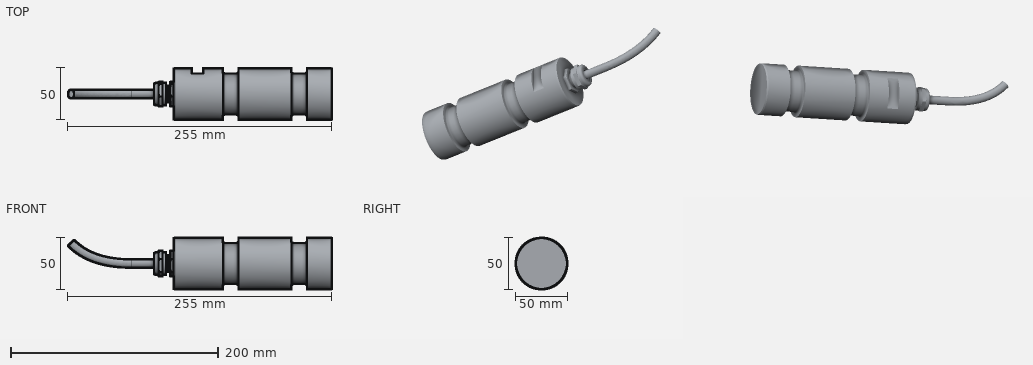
import cadquery as cq
import math


pin_length = 153.0
pin_radius = 25.0
lead_in_length = 1.5
lead_in_depth = 0.4
groove_width = 15.0
groove_depth = 5.0
groove_starts = [47.5, 113.75]
groove_root_fillet = 1.5
cut_overshoot = 1.0
keeper_slot_start = 17.6
keeper_slot_width = 10.8
keeper_slot_depth = 5.0

cable_radius = 4.2
cable_bend_start = -40.7
cable_end_angle = 46.0
cable_end_rise = 20.0
cable_reach = 102.0

hex_across_flats = 22.0
hex_turn = 20.0
hex_chamfer_length = 0.7
hex_chamfer_depth = 0.8
base_hex_length = 3.3
collar_length = 2.2
collar_root_radius = 7.4
neck_radius = 8.1
nut_end = -19.1
nut_start = -7.2
nut_radius = 10.95
nut_dome_radius = 2.2
nut_hex_start = -14.5
nut_hex_length = 3.9
nut_face_thickness = 2.5
nut_recess_radius = 7.5
nut_recess_depth = 0.5
cable_clearance_radius = 5.1


def cylinder(radius, start, end):
    """Cylinder about the X axis between two X positions."""
    return cq.Workplane("YZ", origin=(start, 0, 0)).circle(radius).extrude(end - start)


def chamfered_hexagon(start, length):
    """Hexagon about the X axis with its corners turned down at the outer (-X) end."""
    corner_radius = hex_across_flats / math.sqrt(3)
    hexagon = (
        cq.Workplane("YZ", origin=(start, 0, 0))
        .polygon(6, 2 * corner_radius)
        .extrude(length)
        .rotate((0, 0, 0), (1, 0, 0), -hex_turn)
    )
    turning = (
        cq.Workplane("XY")
        .moveTo(start, 0)
        .lineTo(start, corner_radius - hex_chamfer_depth)
        .lineTo(start + hex_chamfer_length, corner_radius)
        .lineTo(start + length, corner_radius)
        .lineTo(start + length, 0)
        .close()
        .revolve(360, (0, 0, 0), (1, 0, 0))
    )
    return hexagon.intersect(turning)


def groove_cutter(start):
    """Ring that cuts one round groove, rounded where its walls meet its floor."""
    floor_radius = pin_radius - groove_depth
    ring = (
        cq.Workplane("YZ", origin=(start, 0, 0))
        .circle(pin_radius + cut_overshoot)
        .circle(floor_radius)
        .extrude(groove_width)
    )
    return ring.edges(cq.selectors.RadiusNthSelector(0)).fillet(groove_root_fillet)


def make_pin():
    half_profile = (
        cq.Workplane("XY")
        .moveTo(0, 0)
        .lineTo(0, pin_radius - lead_in_depth)
        .lineTo(lead_in_length, pin_radius)
        .lineTo(pin_length - lead_in_length, pin_radius)
        .lineTo(pin_length, pin_radius - lead_in_depth)
        .lineTo(pin_length, 0)
        .close()
    )
    pin = half_profile.revolve(360, (0, 0, 0), (1, 0, 0))
    for start in groove_starts:
        pin = pin.cut(groove_cutter(start))
    keeper_slot = cq.Workplane("XY").box(
        keeper_slot_width, keeper_slot_depth, 2 * pin_radius, centered=(False, False, True)
    )
    return pin.cut(keeper_slot.translate((keeper_slot_start, pin_radius - keeper_slot_depth, 0)))


def make_cable():
    """Straight from the pin face through the gland, then bending upward to its free end."""
    tilt = math.radians(cable_end_angle)
    end_x = -cable_reach + cable_radius * math.sin(tilt)
    path = cq.Workplane("XZ").moveTo(cable_bend_start, 0).spline(
        [(end_x, cable_end_rise)],
        tangents=[(-1, 0), (-math.cos(tilt), math.sin(tilt))],
        includeCurrent=True,
    )
    bend = cq.Workplane("YZ", origin=(cable_bend_start, 0, 0)).circle(cable_radius).sweep(path)
    return bend.union(cylinder(cable_radius, cable_bend_start, 0))


def make_gland_base():
    collar_start = -base_hex_length - collar_length
    collar = (
        cq.Workplane("YZ", origin=(collar_start, 0, 0))
        .circle(neck_radius)
        .workplane(offset=collar_length)
        .circle(collar_root_radius)
        .loft()
    )
    base = (
        chamfered_hexagon(-base_hex_length, base_hex_length)
        .union(collar)
        .union(cylinder(neck_radius, nut_end + nut_face_thickness, collar_start))
    )
    return base.cut(cylinder(cable_radius, nut_end, 0))


def make_gland_nut():
    nut = (
        cylinder(nut_radius, nut_end, nut_start)
        .faces("<X").edges().fillet(nut_dome_radius)
        .union(chamfered_hexagon(nut_hex_start, nut_hex_length))
    )
    cable_hole = cylinder(cable_clearance_radius, nut_end, nut_start)
    face_recess = cylinder(nut_recess_radius, nut_end, nut_end + nut_recess_depth)
    neck_bore = cylinder(neck_radius, nut_end + nut_face_thickness, nut_start)
    return nut.cut(cable_hole).cut(face_recess).cut(neck_bore)


pin = make_pin()
cable = make_cable()
gland_base = make_gland_base()
gland_nut = make_gland_nut()

result = cq.Compound.makeCompound([pin.val(), cable.val(), gland_base.val(), gland_nut.val()])